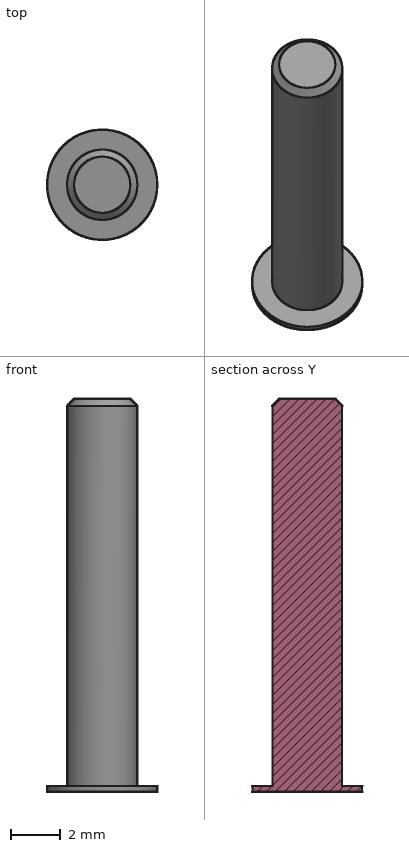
import cadquery as cq

total_length = 15.88
head_diameter = 4.46
head_thickness = 0.24
shank_diameter = 2.85
tip_chamfer = 0.29

head = cq.Workplane("XY").circle(head_diameter / 2).extrude(head_thickness)

shank = (
    cq.Workplane("XY")
    .circle(shank_diameter / 2)
    .extrude(total_length)
    .faces(">Z")
    .chamfer(tip_chamfer)
)

result = head.union(shank)